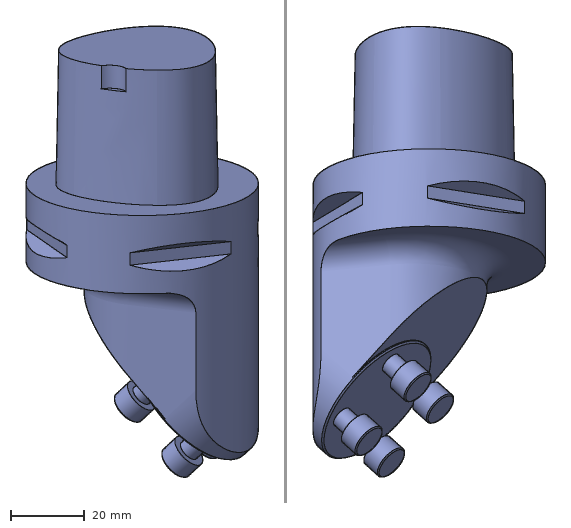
import cadquery as cq
import math

overall_height = 116.0

flange_radius = 63.0 / 2
flange_height = 22.0

groove_flat_distance = 27.8
groove_flat_height = 3.5
groove_center_z = -12.3
groove_flank_angle = 30.0
groove_angles = (45, 135, 225, 315)

shank_base_radius = 21.9
shank_top_radius = 21.2
lobe_height = 1.5

notch_radius = 4.6
notch_inner_y = -17.9
notch_depth = 6.5

neck_radius = 40.0 / 2
neck_center_x = 4.6
neck_fillet = 6.5

seat_center_x = 15.3
seat_center_z = -59.4
pad_thickness = 0.8
pad_chamfer = 0.5

bolt_pitch = 19.7
bolt_reach = 12.0
bolt_shank_diameter = 6.0
bolt_head_diameter = 10.0
bolt_head_height = 5.8
bolt_head_chamfer = 0.3

bolt_slope_extent = bolt_pitch / 2 + bolt_reach + bolt_head_diameter / 2 - bolt_head_chamfer
lowest_bolt_z = seat_center_z - bolt_slope_extent * math.sqrt(0.5)
shank_height = overall_height + lowest_bolt_z

clearance = 139.1

seat_center = cq.Vector(seat_center_x, 0, seat_center_z)


def seat_plane(normal_sign):
    """Plane on the seat, with local X along +Y and normal into (+1) or out of (-1) the body."""
    return cq.Plane(seat_center, xDir=(0, 1, 0), normal=(normal_sign, 0, normal_sign))


def outer_face(plane):
    """Selector for the face farthest along the plane's normal."""
    return cq.selectors.DirectionMinMaxSelector(plane.zDir, True)


def lobed_wire(radius, z):
    """Closed trochoid with a lobe toward +Y, split midway between lobes and flats."""

    def point(angle):
        x = radius * math.sin(angle) - lobe_height * math.sin(2 * angle)
        y = radius * math.cos(angle) + lobe_height * math.cos(2 * angle)
        return cq.Vector(x, y, z)

    def tangent(angle):
        x = radius * math.cos(angle) - 2 * lobe_height * math.cos(2 * angle)
        y = -radius * math.sin(angle) - 2 * lobe_height * math.sin(2 * angle)
        return cq.Vector(x, y, 0)

    segment_count = 6
    steps = 8
    span = 2 * math.pi / segment_count
    edges = []
    for i in range(segment_count):
        angles = [(i - 0.5 + k / steps) * span for k in range(steps + 1)]
        end_tangents = [tangent(angles[0]), tangent(angles[-1])]
        edges.append(cq.Edge.makeSpline([point(a) for a in angles], tangents=end_tangents))
    return cq.Wire.assembleEdges(edges)


def make_shank():
    base = lobed_wire(shank_base_radius, 0)
    top = lobed_wire(shank_top_radius, shank_height)
    shank = cq.Workplane(cq.Solid.makeLoft([base, top], True))
    notch = (
        cq.Workplane("XY", origin=(0, notch_inner_y - notch_radius, shank_height))
        .circle(notch_radius)
        .extrude(-notch_depth)
    )
    return shank.cut(notch)


def make_groove():
    """V-flanked groove with a flat floor, facing +X."""
    rim = 2 * flange_radius
    half_floor = groove_flat_height / 2
    half_rim = half_floor + (rim - groove_flat_distance) * math.tan(math.radians(groove_flank_angle))
    return (
        cq.Workplane("XZ", origin=(0, 0, groove_center_z))
        .polyline([
            (groove_flat_distance, -half_floor),
            (groove_flat_distance, half_floor),
            (rim, half_rim),
            (rim, -half_rim),
        ])
        .close()
        .extrude(flange_radius, both=True)
    )


def make_flange():
    flange = cq.Workplane("XY").circle(flange_radius).extrude(-flange_height)
    groove = make_groove()
    for angle in groove_angles:
        flange = flange.cut(groove.rotate((0, 0, 0), (0, 0, 1), angle))
    return flange


def neck_prism(top_z, height):
    """Downward prism of the neck outline, running out past the flange toward +X."""
    return (
        cq.Workplane("XY", origin=(neck_center_x, 0, top_z))
        .moveTo(clearance, neck_radius)
        .lineTo(0, neck_radius)
        .threePointArc((-neck_radius, 0), (0, -neck_radius))
        .lineTo(clearance, -neck_radius)
        .close()
        .extrude(-height)
    )


def make_neck():
    root_bottom = -flange_height - neck_fillet
    cylinder = cq.Workplane("XY", origin=(0, 0, -flange_height)).circle(flange_radius).extrude(-clearance)

    fillet_middle = neck_fillet * (1 - math.sqrt(0.5))

    def flare_profile(plane):
        return (
            cq.Workplane(plane, origin=(neck_center_x, 0, -flange_height))
            .lineTo(neck_radius + neck_fillet, 0)
            .threePointArc((neck_radius + fillet_middle, -fillet_middle), (neck_radius, -neck_fillet))
            .lineTo(0, -neck_fillet)
            .close()
        )

    straight_root = flare_profile("YZ").extrude(clearance)
    straight_root = straight_root.union(straight_root.mirror("XZ"))
    round_root = flare_profile("XZ").revolve(360, (0, 0, 0), (0, 1, 0))
    root = round_root.union(straight_root)

    nose = cq.Workplane(seat_plane(1)).circle(neck_radius).extrude(clearance)
    uphill = (
        cq.Workplane(seat_plane(1))
        .center(0, clearance / 2)
        .rect(2 * neck_radius, clearance)
        .extrude(clearance)
    )
    lower_neck = neck_prism(root_bottom, clearance).intersect(nose.union(uphill))
    return root.union(lower_neck).intersect(cylinder)


def make_pad():
    outward = seat_plane(-1)
    pad = cq.Workplane(outward).circle(neck_radius).extrude(pad_thickness)
    return pad.faces(outer_face(outward)).edges().chamfer(pad_chamfer)


def make_bolts():
    def bolt_centers(plane):
        return cq.Workplane(plane).rarray(bolt_pitch, bolt_pitch, 2, 2)

    shanks = bolt_centers(seat_plane(-1)).circle(bolt_shank_diameter / 2).extrude(bolt_reach)
    end_plane = cq.Workplane(seat_plane(-1)).workplane(offset=bolt_reach).plane
    heads = (
        bolt_centers(end_plane)
        .circle(bolt_head_diameter / 2)
        .extrude(-bolt_head_height)
        .faces(outer_face(end_plane))
        .edges()
        .chamfer(bolt_head_chamfer)
    )
    return shanks.union(heads)


result = make_flange().union(make_shank()).union(make_neck()).union(make_pad()).union(make_bolts())